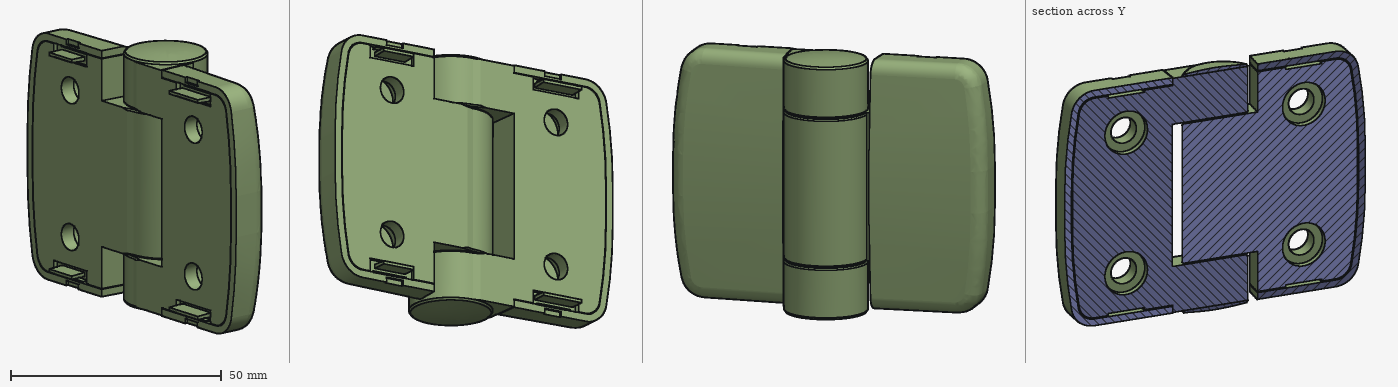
import cadquery as cq
import math


barrel_radius = 10.0
base_y = -10.5

half_width = 38.75
half_height = 30.3
side_flat_half = 5.0
side_radius = 116.25
corner_radius = 6.0
inner_start_x = 3.9

end_x_at_base = 11.15
end_x_at_axis = 10.6

crown_radius = 310.0
crown_tilt = 2.2
crown_edge_radius = 3.5

wall = 1.85
roof = 1.55
fit_gap = 0.15

leaf_half_height = 30.15
tongue_half_height = 18.0
knuckle_gap = 0.2
knuckle_chamfer = 0.4
facet_width = 1.8
web_top_y = -0.4

screw_x = 22.9
screw_z = 18.05
screw_diameter = 6.5
screw_seat = 3.8
head_diameter = 10.85

left_pocket_width = 12.2
right_pocket_width = 12.6
right_pocket_draft = 0.3
left_tab_width = 8.4
right_tab_width = 10.6
pocket_inner_z = 25.1
pocket_depth = 1.0
tab_outer_z = 27.05
tab_root_thickness = 1.0
tab_tip_thickness = 0.8
tab_reach = 3.0

slot_width = 9.2
slot_height = 0.7
snap_width = 8.0
snap_height = 0.6
snap_depth = 0.8

notch_x = 22.1
notch_width = 4.6
notch_height = 1.25
notch_depth = 0.6

cap_chamfer_width = 0.4
cap_chamfer_height = 0.55
cap_height = 1.25


def box(x_center, width, y_low, y_high, z_low, z_high):
    """Block centred on x_center, between two Y levels and two Z levels."""
    block = cq.Workplane("XY").box(width, y_high - y_low, z_high - z_low, centered=(True, False, False))
    return block.translate((x_center, y_low, z_low))


def both_ends(shape):
    """The shape together with its mirror copy at the other Z end."""
    return shape.union(shape.mirror("XY"))


def crown_cylinder(drop):
    """Large tilted cylinder whose skin is the crown, lowered by drop."""
    tilt = math.radians(crown_tilt)
    along = cq.Vector(math.cos(tilt), -math.sin(tilt), 0)
    crest = cq.Vector(end_x_at_axis, -crown_radius - drop, 0)
    start = crest - along * half_width
    return cq.Workplane(cq.Solid.makeCylinder(crown_radius, 3 * half_width, start, along))


def bowed_plate(inset, drop):
    """Block with the cover outline moved in by inset, under the crown lowered by drop."""
    top = half_height - inset
    radius = side_radius - inset
    round_off = corner_radius - inset
    side = half_width - inset
    bow_x = half_width - side_radius
    corner_z = top - round_off
    rise = math.asin((corner_z - side_flat_half) / (radius - round_off))
    corner_x = bow_x + (radius - round_off) * math.cos(rise)

    def on_bow(angle):
        return (bow_x + radius * math.cos(angle), side_flat_half + radius * math.sin(angle))

    def on_corner(angle):
        return (corner_x + round_off * math.cos(angle), corner_z + round_off * math.sin(angle))

    def flipped(point):
        return (point[0], -point[1])

    bow_middle = on_bow(rise / 2)
    bow_end = on_bow(rise)
    corner_middle = on_corner((rise + math.pi / 2) / 2)
    corner_end = (corner_x, top)
    outline = (
        cq.Workplane("XZ", origin=(0, base_y, 0))
        .moveTo(inner_start_x, -top)
        .lineTo(*flipped(corner_end))
        .threePointArc(flipped(corner_middle), flipped(bow_end))
        .threePointArc(flipped(bow_middle), (side, -side_flat_half))
        .lineTo(side, side_flat_half)
        .threePointArc(bow_middle, bow_end)
        .threePointArc(corner_middle, corner_end)
        .lineTo(inner_start_x, top)
        .close()
    )
    raw_height = barrel_radius - base_y
    return outline.extrude(-raw_height).intersect(crown_cylinder(drop))


def end_face_x(y):
    """X of the sloping end face at a given Y."""
    return end_x_at_axis + (end_x_at_base - end_x_at_axis) * y / base_y


def trim_at_end_face(shape):
    """Keeps what lies outward of the sloping end face."""
    low = 2 * base_y
    high = barrel_radius
    keep = (
        cq.Workplane("XY", origin=(0, 0, -half_height))
        .polyline([
            (end_face_x(low), low),
            (half_width, low),
            (half_width, high),
            (end_face_x(high), high),
        ])
        .close()
        .extrude(2 * half_height)
    )
    return shape.intersect(keep)


def knuckle(z_low, z_high, chamfered_faces):
    """Barrel section with the web that carries it, chamfered round the barrel on the given end faces."""
    web_start_x = math.sqrt(barrel_radius**2 - web_top_y**2)
    solid = (
        cq.Workplane("XY", origin=(0, 0, z_low))
        .moveTo(0, -barrel_radius)
        .lineTo(facet_width, base_y)
        .lineTo(end_x_at_base, base_y)
        .lineTo(end_face_x(web_top_y), web_top_y)
        .lineTo(web_start_x, web_top_y)
        .threePointArc((-barrel_radius, 0), (0, -barrel_radius))
        .close()
        .extrude(z_high - z_low)
    )
    barrel_side = cq.selectors.BoxSelector(
        (-barrel_radius, -barrel_radius - 0.8, -half_height),
        (facet_width, barrel_radius, half_height),
    )
    barrel_edges = solid.faces(chamfered_faces).edges(barrel_side)
    return barrel_edges.chamfer(knuckle_chamfer)


def pocket(width, draft):
    """Shallow pocket open toward the cover wall, each side drawn in by draft at the floor."""
    mouth_half = width / 2
    floor_half = mouth_half - draft
    floor_y = base_y + pocket_depth
    return (
        cq.Workplane("XY", origin=(screw_x, 0, pocket_inner_z))
        .polyline([
            (-mouth_half, base_y),
            (mouth_half, base_y),
            (floor_half, floor_y),
            (-floor_half, floor_y),
        ])
        .close()
        .extrude(half_height - pocket_inner_z)
    )


def tab(width):
    """Locating tab standing on the pocket floor, tapering toward its tip on the inner side."""
    floor_y = base_y + pocket_depth
    tip_y = base_y - tab_reach
    return (
        cq.Workplane("YZ", origin=(screw_x - width / 2, 0, 0))
        .polyline([
            (floor_y, tab_outer_z),
            (tip_y, tab_outer_z),
            (tip_y, tab_outer_z - tab_tip_thickness),
            (floor_y, tab_outer_z - tab_root_thickness),
        ])
        .close()
        .extrude(width)
    )


def screw_bores(diameter, start_y):
    """Pair of bores running from start_y out through the back of the leaf."""
    return (
        cq.Workplane("XZ", origin=(0, start_y, 0))
        .pushPoints([(screw_x, -screw_z), (screw_x, screw_z)])
        .circle(diameter / 2)
        .extrude(start_y - barrel_radius)
    )


def leaf(knuckles, pocket_width, pocket_draft, tab_width):
    """Leaf plate filling its cover, with knuckles, tabs in pockets, snap slots and screw holes."""
    body = trim_at_end_face(bowed_plate(wall + fit_gap, roof))
    for part in knuckles:
        body = body.union(part)

    slot_inner_z = half_height - wall - slot_height
    slot = box(screw_x, slot_width, base_y, barrel_radius, slot_inner_z, half_height)
    body = body.cut(both_ends(pocket(pocket_width, pocket_draft))).cut(both_ends(slot))
    body = body.union(both_ends(tab(tab_width)))

    body = body.cut(screw_bores(screw_diameter, base_y))
    return body.cut(screw_bores(head_diameter, base_y + screw_seat))


def snap_wedge():
    """Wedge on the inside of the cover wall, growing inward from the level of the pocket floor."""
    wall_z = half_height - wall
    start_y = base_y + pocket_depth
    end_y = start_y + snap_depth
    return (
        cq.Workplane("YZ", origin=(screw_x - snap_width / 2, 0, 0))
        .polyline([
            (start_y, wall_z),
            (end_y, wall_z - snap_height),
            (end_y, wall_z),
        ])
        .close()
        .extrude(snap_width)
    )


def cover():
    """Crowned shell over a leaf, with snap wedges and pry notches."""
    outer = bowed_plate(0, 0)
    crown_edges = outer.faces(">Y").edges()
    rim = crown_edges.filter(lambda edge: edge.Center().x > end_x_at_base)
    outer = trim_at_end_face(rim.fillet(crown_edge_radius))

    shell = outer.cut(bowed_plate(wall, roof)).union(both_ends(snap_wedge()))
    notch = box(notch_x, notch_width, base_y, base_y + notch_depth, half_height - notch_height, half_height)
    return shell.cut(both_ends(notch))


def end_cap():
    """Domed cap on the upper end of the barrel."""
    rim_radius = barrel_radius - cap_chamfer_width
    rim_z = leaf_half_height + cap_chamfer_height
    top_z = leaf_half_height + cap_height
    dome_rise = top_z - rim_z
    dome_radius = (rim_radius**2 + dome_rise**2) / (2 * dome_rise)
    middle_radius = rim_radius / 2
    middle_z = top_z - dome_radius + math.sqrt(dome_radius**2 - middle_radius**2)
    return (
        cq.Workplane("XZ")
        .moveTo(0, leaf_half_height)
        .lineTo(barrel_radius, leaf_half_height)
        .lineTo(rim_radius, rim_z)
        .threePointArc((middle_radius, middle_z), (0, top_z))
        .close()
        .revolve(360, (0, 0, 0), (0, 1, 0))
    )


upper_knuckle = knuckle(tongue_half_height + knuckle_gap, leaf_half_height, "<Z")
outer_knuckles = [upper_knuckle, upper_knuckle.mirror("XY")]
right_leaf = leaf(outer_knuckles, right_pocket_width, right_pocket_draft, right_tab_width)
middle_knuckle = knuckle(-tongue_half_height, tongue_half_height, "<Z or >Z")
left_leaf = leaf([middle_knuckle], left_pocket_width, 0, left_tab_width).mirror("YZ")

right_cover = cover()
left_cover = right_cover.mirror("YZ")

top_cap = end_cap()
end_caps = [top_cap, top_cap.mirror("XY")]

result = cq.Compound.makeCompound([
    left_leaf.val(),
    right_leaf.val(),
    left_cover.val(),
    right_cover.val(),
    *[cap.val() for cap in end_caps],
])